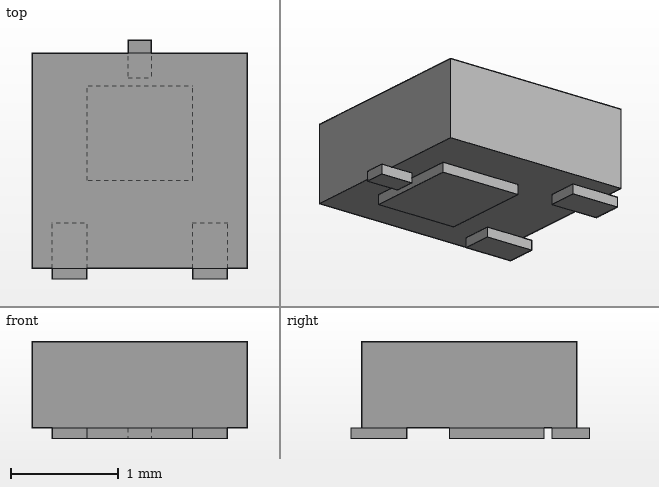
import cadquery as cq

housing_side = 2.0
housing_height = 0.8
pad_thickness = 0.1

front_pad_width = 0.325
front_pad_length = 0.522
front_pad_overhang = 0.1
front_pad_outer_x = 0.815

rear_pad_width = 0.218
rear_pad_length = 0.35
rear_pad_overhang = 0.12

centre_pad_length = 0.88
centre_pad_rear_gap = 0.073

half_side = housing_side / 2
front_pad_x = front_pad_outer_x - front_pad_width / 2
front_pad_start_y = -half_side - front_pad_overhang
rear_pad_start_y = half_side + rear_pad_overhang - rear_pad_length
centre_pad_width = 2 * (front_pad_outer_x - front_pad_width)
centre_pad_start_y = rear_pad_start_y - centre_pad_rear_gap - centre_pad_length


def make_housing():
    """Plain block resting on top of the pads."""
    return (
        cq.Workplane("XY")
        .workplane(offset=pad_thickness)
        .rect(housing_side, housing_side)
        .extrude(housing_height)
    )


def make_pad(width, length, centre_x, start_y):
    """Flat pad on Z = 0, centred on centre_x and running toward +Y from start_y."""
    return (
        cq.Workplane("XY")
        .center(centre_x, start_y + length / 2)
        .rect(width, length)
        .extrude(pad_thickness)
    )


housing = make_housing()
front_pads = [
    make_pad(front_pad_width, front_pad_length, side * front_pad_x, front_pad_start_y)
    for side in (-1, 1)
]
rear_pad = make_pad(rear_pad_width, rear_pad_length, 0, rear_pad_start_y)
centre_pad = make_pad(centre_pad_width, centre_pad_length, 0, centre_pad_start_y)

result = cq.Compound.makeCompound(
    [housing.val(), *[pad.val() for pad in front_pads], rear_pad.val(), centre_pad.val()]
)